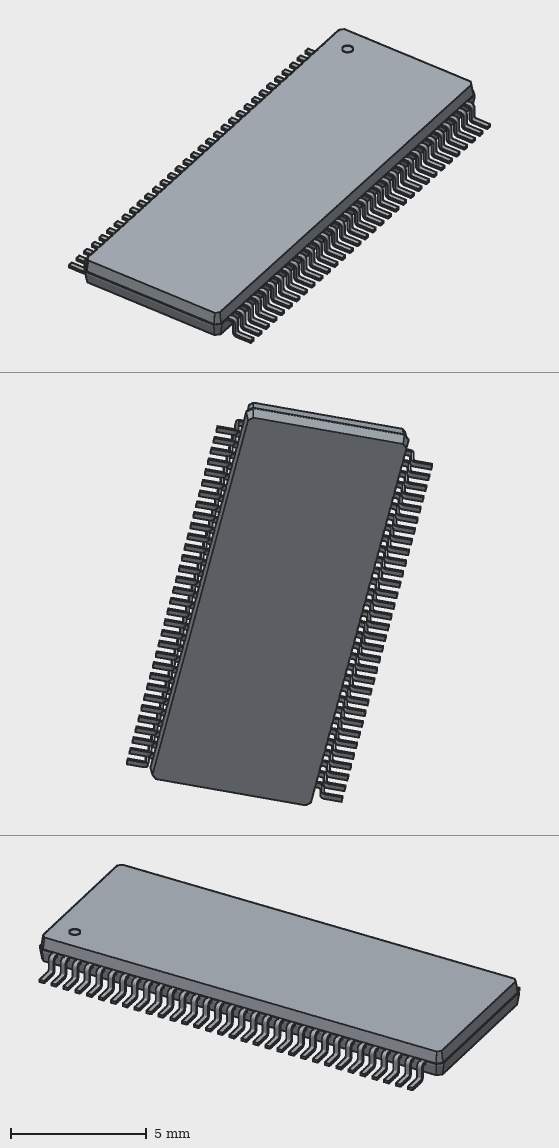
import cadquery as cq
import math

body_length = 17.0
body_width = 6.1
lead_span = 8.1
total_height = 1.2

standoff = 0.2
lead_thickness = 0.1
band_bottom = 0.63
band_top = band_bottom + lead_thickness
corner_chamfer = 0.2
ledge_width = 0.042
draft_inset = 0.07

leads_per_side = 32
lead_row_length = 15.5
lead_pitch = lead_row_length / (leads_per_side - 1)
lead_width = 0.2
shank_outer_x = 3.35
inner_bend_radius = 0.07
outer_bend_radius = inner_bend_radius + lead_thickness
lead_embed = 0.34

mark_diameter = 0.4
mark_depth = 0.03
mark_x = -2.04
mark_y = 7.48


def body_outline(z, ledge=0.0):
    """Chamfered rectangle of the body at height z, set in evenly from the band by the ledge."""
    chamfer = corner_chamfer - (2 - math.sqrt(2)) * ledge
    return (
        cq.Workplane("XY", origin=(0, 0, z))
        .sketch()
        .rect(body_width - 2 * ledge, body_length - 2 * ledge)
        .vertices()
        .chamfer(chamfer)
        .finalize()
    )


def make_body():
    upper_height = total_height - band_top
    lower_height = band_bottom - standoff
    upper_draft = math.degrees(math.atan2(draft_inset, upper_height))
    lower_draft = math.degrees(math.atan2(draft_inset, lower_height))
    band = body_outline(band_bottom).extrude(lead_thickness)
    upper = body_outline(band_top, ledge_width).extrude(upper_height, taper=upper_draft)
    lower = body_outline(band_bottom).extrude(-lower_height, taper=lower_draft)
    return band.union(upper).union(lower)


def make_lead():
    """Gull-wing lead on the +X side, centred on Y = 0."""
    root_x = body_width / 2 - lead_embed
    foot_end_x = lead_span / 2
    shank_inner_x = shank_outer_x - lead_thickness
    arm_end_x = shank_outer_x - outer_bend_radius
    foot_start_x = shank_inner_x + outer_bend_radius
    shank_top = band_top - outer_bend_radius
    shank_bottom = outer_bend_radius
    arc_45 = math.sqrt(0.5)
    inner_reach = inner_bend_radius * arc_45
    outer_reach = outer_bend_radius * arc_45
    return (
        cq.Workplane("XZ")
        .moveTo(root_x, band_top)
        .lineTo(arm_end_x, band_top)
        .threePointArc((arm_end_x + outer_reach, shank_top + outer_reach), (shank_outer_x, shank_top))
        .lineTo(shank_outer_x, shank_bottom)
        .threePointArc(
            (foot_start_x - inner_reach, shank_bottom - inner_reach), (foot_start_x, lead_thickness)
        )
        .lineTo(foot_end_x, lead_thickness)
        .lineTo(foot_end_x, 0)
        .lineTo(foot_start_x, 0)
        .threePointArc(
            (foot_start_x - outer_reach, shank_bottom - outer_reach), (shank_inner_x, shank_bottom)
        )
        .lineTo(shank_inner_x, shank_top)
        .threePointArc((arm_end_x + inner_reach, shank_top + inner_reach), (arm_end_x, band_bottom))
        .lineTo(root_x, band_bottom)
        .close()
        .extrude(lead_width / 2, both=True)
    )


def make_leads():
    """Both rows of leads, evenly spaced along Y."""
    row_positions = [(0, (i - (leads_per_side - 1) / 2) * lead_pitch) for i in range(leads_per_side)]
    right_lead = make_lead().val()
    left_lead = right_lead.mirror("YZ")
    leads = cq.Workplane("XY").pushPoints(row_positions).eachpoint(right_lead)
    return leads.add(cq.Workplane("XY").pushPoints(row_positions).eachpoint(left_lead))


def make_mark():
    """Shallow round recess marking pin one."""
    floor = cq.Workplane("XY", origin=(mark_x, mark_y, total_height - mark_depth))
    return floor.circle(mark_diameter / 2).extrude(mark_depth)


result = make_body().union(make_leads().combine()).cut(make_mark())